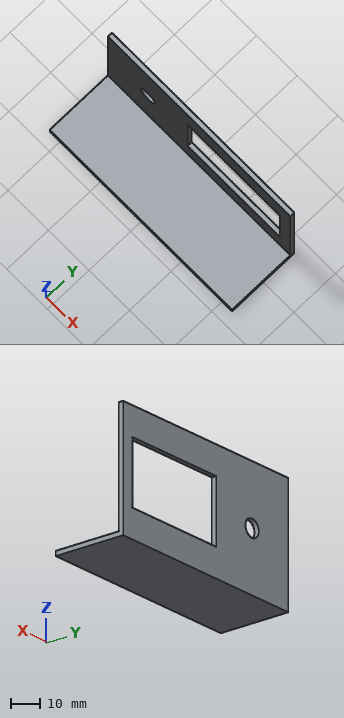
import cadquery as cq

length = 90.0
depth = 30.0
height = 50.0
thickness = 2.0

opening_height = height / 2
hole_diameter = 7.2
hole_x = 19.7
window_length = 45.5
window_height = 26.3
window_right_margin = 5.1
window_x = length - window_right_margin - window_length / 2


def make_angle():
    """L profile with the upright at the back, extruded along X from the origin."""
    return (
        cq.Workplane("YZ")
        .moveTo(0, 0)
        .lineTo(depth, 0)
        .lineTo(depth, height)
        .lineTo(depth - thickness, height)
        .lineTo(depth - thickness, thickness)
        .lineTo(0, thickness)
        .close()
        .extrude(length)
    )


def make_openings():
    """Round hole and rectangular window, running through the whole depth."""
    hole = cq.Workplane("XZ").center(hole_x, opening_height).circle(hole_diameter / 2).extrude(-depth)
    window = (
        cq.Workplane("XZ")
        .center(window_x, opening_height)
        .rect(window_length, window_height)
        .extrude(-depth)
    )
    return hole.union(window)


result = make_angle().cut(make_openings())